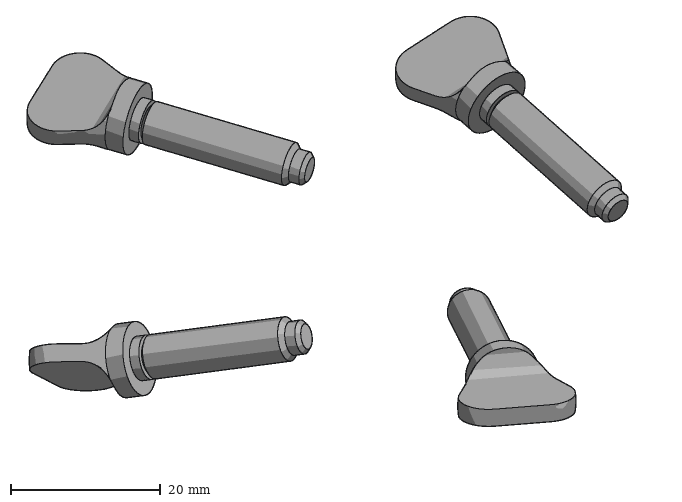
import cadquery as cq
import math

total_length = 39.0

grip_half_width = 8.0
grip_corner_radius = 4.0
grip_thickness = 2.5
blend_radius = 3.0
blend_start = 8.55

collar_radius = 5.0
collar_end = 14.05

shank_radius = 3.0
neck_end = 15.45
groove_width = 0.55
groove_depth = 0.78
shank_end = 36.2

tip_radius = 2.3
tip_chamfer = 0.6

blend_axis_height = grip_thickness / 2 + blend_radius
rim_offset = collar_radius - blend_axis_height
collar_start = blend_start + math.sqrt(blend_radius**2 - rim_offset**2)

corner_x = grip_corner_radius
corner_y = grip_half_width - grip_corner_radius
rim_dx = collar_start - corner_x
rim_dy = collar_radius - corner_y
rim_distance = math.hypot(rim_dx, rim_dy)
tangent_angle = math.atan2(rim_dy, rim_dx) + math.acos(grip_corner_radius / rim_distance)


def corner_point(angle):
    """Point on the rounded grip corner at an angle from +X."""
    return (
        corner_x + grip_corner_radius * math.cos(angle),
        corner_y + grip_corner_radius * math.sin(angle),
    )


def turned_body():
    """Grip, collar, shank and tip as one solid of revolution."""
    groove_radius = shank_radius - groove_depth
    shoulder_end = shank_end + shank_radius - tip_radius
    middle_angle = (math.pi + tangent_angle) / 2
    return (
        cq.Workplane("XY")
        .moveTo(0, 0)
        .lineTo(0, corner_y)
        .threePointArc(corner_point(middle_angle), corner_point(tangent_angle))
        .lineTo(collar_start, collar_radius)
        .lineTo(collar_end, collar_radius)
        .lineTo(collar_end, shank_radius)
        .lineTo(neck_end, shank_radius)
        .lineTo(neck_end, groove_radius)
        .lineTo(neck_end + groove_width, shank_radius)
        .lineTo(shank_end, shank_radius)
        .lineTo(shoulder_end, tip_radius)
        .lineTo(total_length - tip_chamfer, tip_radius)
        .lineTo(total_length, tip_radius - tip_chamfer)
        .lineTo(total_length, 0)
        .close()
        .revolve(360, (0, 0, 0), (1, 0, 0))
    )


def grip_cutter():
    """Space above the flat grip, ending in a concave cylindrical blend."""
    cut_width = 2 * grip_half_width
    slab = cq.Workplane("XY").box(
        blend_start, cut_width, grip_half_width, centered=(False, True, False)
    ).translate((0, 0, grip_thickness / 2))
    blend = (
        cq.Workplane("XZ")
        .center(blend_start, blend_axis_height)
        .circle(blend_radius)
        .extrude(cut_width / 2, both=True)
    )
    return slab.union(blend)


upper_cutter = grip_cutter()
lower_cutter = upper_cutter.mirror("XY")
result = turned_body().cut(upper_cutter).cut(lower_cutter)